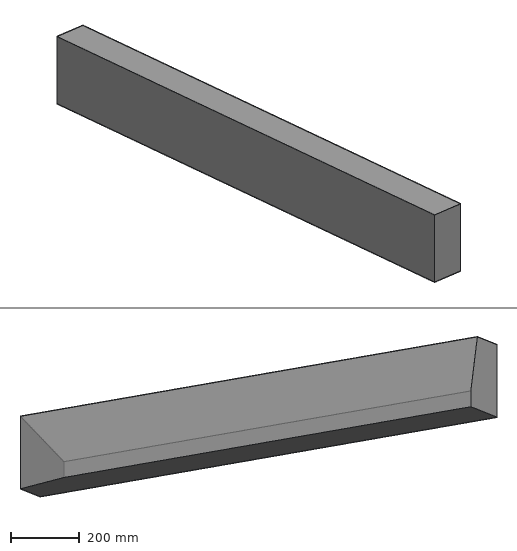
import cadquery as cq

length = 1590.0
depth = 140.0
height = 220.0

top_depth = 105.0
back_lip_height = 48.0
end_cut_length = 175.0


def tapered_bar():
    """Bar along X: upright front, back leaning in above a low vertical lip."""
    section = [
        (0, 0),
        (depth, 0),
        (depth, back_lip_height),
        (top_depth, height),
        (0, height),
    ]
    return cq.Workplane("YZ").polyline(section).close().extrude(length)


def end_cut():
    """Upright wedge that trims the back corner at the +X end."""
    corner = [
        (length - end_cut_length, depth),
        (length, top_depth),
        (length, depth),
    ]
    return cq.Workplane("XY").polyline(corner).close().extrude(height)


result = tapered_bar().cut(end_cut())